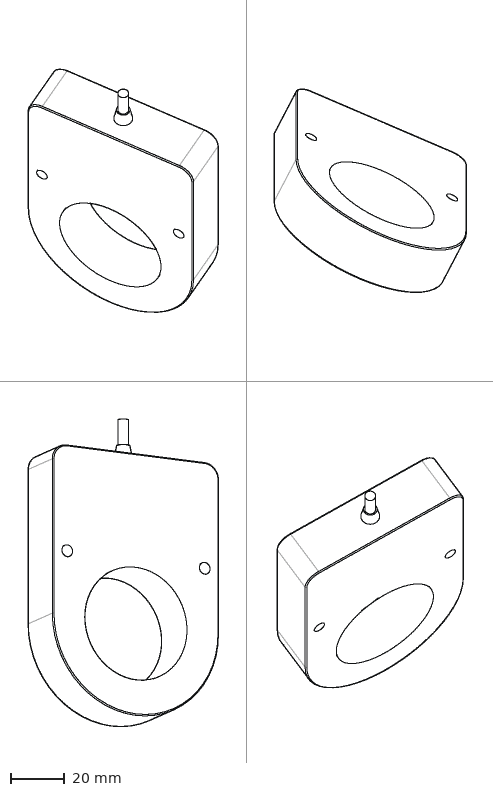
import cadquery as cq

total_height = 115.0
body_width = 70.0
body_depth = 20.0
cable_stickout = 15.0
body_radius = body_width / 2
body_top = total_height - cable_stickout - body_radius
corner_radius = 6.0
edge_chamfer = 0.5

ring_hole_diameter = 43.0
screw_hole_diameter = 4.5
screw_hole_spacing = 58.0
screw_hole_height = 24.5

cable_diameter = 4.0
relief_height = 5.1
relief_base_diameter = 7.0
relief_top_diameter = 5.1


def make_body():
    """Housing with a round bottom, rounded top corners and broken edges."""
    outline = (
        cq.Workplane("XZ")
        .moveTo(-body_radius, 0)
        .threePointArc((0, -body_radius), (body_radius, 0))
        .lineTo(body_radius, body_top)
        .lineTo(-body_radius, body_top)
        .close()
    )
    body = outline.extrude(body_depth / 2, both=True)
    body = body.edges("|Y and >Z").fillet(corner_radius)
    return body.faces("<Y or >Y").chamfer(edge_chamfer)


def make_holes():
    """Cutters for the ring hole and the two screw holes."""
    half_spacing = screw_hole_spacing / 2
    back_plane = cq.Workplane("XZ", origin=(0, body_depth / 2, 0))
    ring = back_plane.circle(ring_hole_diameter / 2).extrude(body_depth)
    screws = (
        back_plane
        .pushPoints([(-half_spacing, screw_hole_height), (half_spacing, screw_hole_height)])
        .circle(screw_hole_diameter / 2)
        .extrude(body_depth)
    )
    return ring.union(screws)


def make_cable():
    """Cable stub rising from the top face through a conical strain relief."""
    relief_top = body_top + relief_height
    relief = (
        cq.Workplane("XY", origin=(0, 0, body_top))
        .circle(relief_base_diameter / 2)
        .workplane(offset=relief_height)
        .circle(relief_top_diameter / 2)
        .loft()
    )
    cable = (
        cq.Workplane("XY", origin=(0, 0, relief_top))
        .circle(cable_diameter / 2)
        .extrude(cable_stickout - relief_height)
    )
    return relief.union(cable)


result = make_body().cut(make_holes()).union(make_cable())